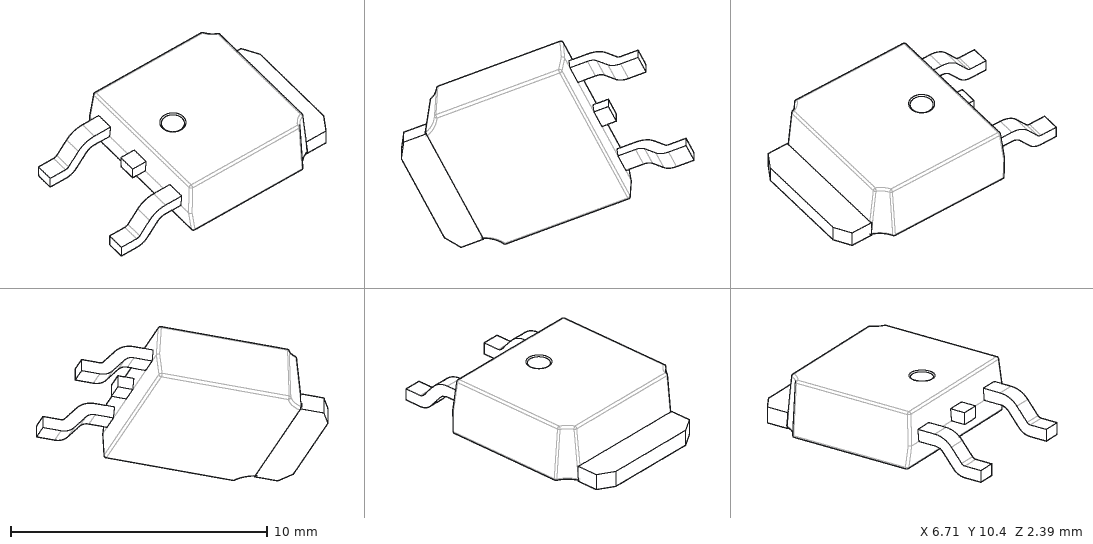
import cadquery as cq
import math

overall_width = 6.71
overall_length = 10.41
overall_height = 2.39

draft_slope = math.tan(math.radians(5))
back_slope = math.tan(math.radians(6))
housing_half_width = 3.364
housing_back = 3.935
housing_front = -2.288
parting_height = 1.01
edge_radius = 0.1
notch_half_gap = 2.72
notch_side_end = 3.205
notch_bottom_sagitta = 0.105
notch_top_sagitta = 0.065
front_allowance = 1.0

marker_y = -0.64
marker_radius = 0.51
marker_floor_radius = 0.45
marker_depth = 0.05

tab_half_width = 2.742
tab_thickness = 0.69
tab_chamfer_x = 0.69
tab_chamfer_y = 0.41

lead_width = 0.766
lead_thickness = 0.51
lead_offset = 2.295
lead_bottom = parting_height
lead_bend_start = -3.04
lead_bend_angle = math.radians(50)
upper_inner_radius = 0.51
lower_inner_radius = 0.2
stub_end = -2.906

lead_top = lead_bottom + lead_thickness
tab_end = overall_length / 2
tab_root = housing_back - edge_radius
lead_root = housing_front + edge_radius
foot_end = -overall_length / 2


def housing_outline(height, notch_sagitta):
    """Closed wire of the drafted outline at a height, with concave back corners."""
    half_width = housing_half_width - height * draft_slope
    back = housing_back - height * back_slope
    front = housing_front - front_allowance
    chord_x = half_width - notch_half_gap
    chord_y = back - notch_side_end
    chord = math.hypot(chord_x, chord_y)
    mid_x = (half_width + notch_half_gap) / 2 - notch_sagitta * chord_y / chord
    mid_y = (back + notch_side_end) / 2 - notch_sagitta * chord_x / chord
    return (
        cq.Workplane("XY", origin=(0, 0, height))
        .moveTo(-half_width, front)
        .lineTo(half_width, front)
        .lineTo(half_width, notch_side_end)
        .threePointArc((mid_x, mid_y), (notch_half_gap, back))
        .lineTo(-notch_half_gap, back)
        .threePointArc((-mid_x, mid_y), (-half_width, notch_side_end))
        .close()
        .val()
    )


def front_wall_trim():
    """Side profile whose front wall leans back above and below the parting line."""
    top_front = housing_front + (overall_height - parting_height) * draft_slope
    bottom_front = housing_front + parting_height * draft_slope
    return (
        cq.Workplane("YZ")
        .moveTo(bottom_front, 0)
        .lineTo(housing_front, parting_height)
        .lineTo(top_front, overall_height)
        .lineTo(tab_end, overall_height)
        .lineTo(tab_end, 0)
        .close()
        .extrude(overall_width, both=True)
    )


def make_marker():
    """Tapered cutter for the shallow round dimple."""
    return (
        cq.Workplane("XY", origin=(0, marker_y, overall_height))
        .circle(marker_radius)
        .workplane(offset=-marker_depth)
        .circle(marker_floor_radius)
        .loft()
    )


def make_housing():
    bottom = housing_outline(0, notch_bottom_sagitta)
    top = housing_outline(overall_height, notch_top_sagitta)
    drafted = cq.Solid.makeLoft([bottom, top], True)
    block = cq.Workplane(drafted).intersect(front_wall_trim())
    rounded = block.edges("not <Y").fillet(edge_radius)
    return rounded.cut(make_marker())


def make_tab(housing):
    """Flat tab with clipped corners, ending against the housing's back wall."""
    shoulder = tab_end - tab_chamfer_y
    tip_half_width = tab_half_width - tab_chamfer_x
    plate = (
        cq.Workplane("XY")
        .moveTo(-tab_half_width, tab_root)
        .lineTo(tab_half_width, tab_root)
        .lineTo(tab_half_width, shoulder)
        .lineTo(tip_half_width, tab_end)
        .lineTo(-tip_half_width, tab_end)
        .lineTo(-tab_half_width, shoulder)
        .close()
        .extrude(tab_thickness)
    )
    return plate.cut(housing)


def extrude_lead(profile, center_x):
    """Solid of lead width, centred on center_x, from a side profile in the YZ plane."""
    return profile.extrude(lead_width / 2, both=True).translate((center_x, 0, 0))


def make_bent_lead(center_x, housing):
    """Gull-wing lead: flat root, downward bend, slope, upward bend and flat foot."""
    sin_bend = math.sin(lead_bend_angle)
    cos_bend = math.cos(lead_bend_angle)
    upper_outer_radius = upper_inner_radius + lead_thickness
    lower_outer_radius = lower_inner_radius + lead_thickness

    bend_radii = upper_inner_radius + lower_outer_radius
    slope_length = (lead_bottom - bend_radii * (1 - cos_bend)) / sin_bend
    run = bend_radii * sin_bend + slope_length * cos_bend

    upper_center = (lead_bend_start, lead_bottom - upper_inner_radius)
    lower_center = (lead_bend_start - run, lower_outer_radius)

    def upper_point(radius, angle):
        return (upper_center[0] - radius * math.sin(angle), upper_center[1] + radius * math.cos(angle))

    def lower_point(radius, angle):
        return (lower_center[0] + radius * math.sin(angle), lower_center[1] - radius * math.cos(angle))

    full = lead_bend_angle
    half = lead_bend_angle / 2
    profile = (
        cq.Workplane("YZ")
        .moveTo(lead_root, lead_top)
        .lineTo(*upper_point(upper_outer_radius, 0))
        .threePointArc(upper_point(upper_outer_radius, half), upper_point(upper_outer_radius, full))
        .lineTo(*lower_point(lower_inner_radius, full))
        .threePointArc(lower_point(lower_inner_radius, half), lower_point(lower_inner_radius, 0))
        .lineTo(foot_end, lead_thickness)
        .lineTo(foot_end, 0)
        .lineTo(*lower_point(lower_outer_radius, 0))
        .threePointArc(lower_point(lower_outer_radius, half), lower_point(lower_outer_radius, full))
        .lineTo(*upper_point(upper_inner_radius, full))
        .threePointArc(upper_point(upper_inner_radius, half), upper_point(upper_inner_radius, 0))
        .lineTo(lead_root, lead_bottom)
        .close()
    )
    return extrude_lead(profile, center_x).cut(housing)


def make_stub_lead(housing):
    """Short straight centre lead."""
    profile = (
        cq.Workplane("YZ")
        .moveTo(lead_root, lead_bottom)
        .lineTo(lead_root, lead_top)
        .lineTo(stub_end, lead_top)
        .lineTo(stub_end, lead_bottom)
        .close()
    )
    return extrude_lead(profile, 0).cut(housing)


housing = make_housing()
tab = make_tab(housing)
stub_lead = make_stub_lead(housing)
bent_leads = [make_bent_lead(side * lead_offset, housing) for side in (-1, 1)]

bodies = [housing, tab, stub_lead, *bent_leads]
result = cq.Compound.makeCompound([body.solids().val() for body in bodies])